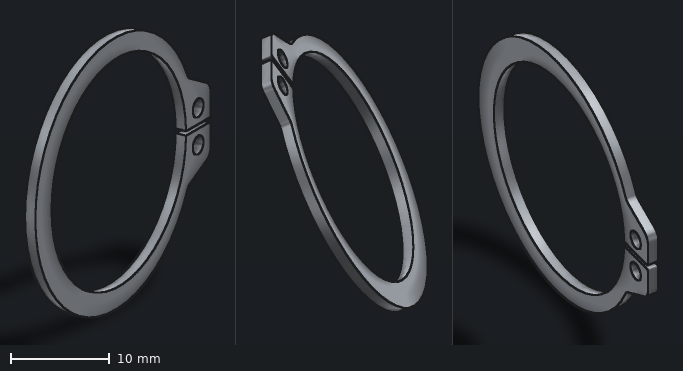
import cadquery as cq
import math

thickness = 1.27
overall_length = 32.65
outer_diameter = 29.75
inner_diameter = 25.0
bore_offset = 0.7
gap_width = 0.5

lug_side_height = 3.9
lug_slope = math.radians(26.2)
lug_corner_radius = 1.25
lug_tip_radius = 0.15
lug_root_radius = 0.98

hole_diameter = 2.0
hole_y = 15.45
hole_spacing = 4.05

outer_radius = outer_diameter / 2
lug_end = overall_length - outer_radius


side_distance = lug_end * math.sin(lug_slope) + lug_side_height * math.cos(lug_slope)
root_angle = math.pi / 2 - lug_slope - math.acos(side_distance / outer_radius)
root_y = outer_radius * math.cos(root_angle)
root_z = outer_radius * math.sin(root_angle)


def disc(diameter, y=0.0, z=0.0):
    """Disc of the ring's thickness, centred on the mid-plane."""
    return (
        cq.Workplane("YZ", origin=(-thickness / 2, y, z))
        .circle(diameter / 2)
        .extrude(thickness)
    )


def lug_block():
    """Both lugs as one block with sloping sides, reaching back to the ring centre."""
    return (
        cq.Workplane("YZ", origin=(-thickness / 2, 0, 0))
        .moveTo(0, root_z)
        .lineTo(root_y, root_z)
        .lineTo(lug_end, lug_side_height)
        .lineTo(lug_end, -lug_side_height)
        .lineTo(root_y, -root_z)
        .lineTo(0, -root_z)
        .close()
        .extrude(thickness)
    )


def round_edges(body, y, z, radius):
    """Round the mirrored pair of edges along X that pass through (y, +z) and (y, -z)."""
    for side in (1, -1):
        edge = cq.selectors.NearestToPointSelector((0, y, side * z))
        body = body.edges("|X").edges(edge).fillet(radius)
    return body


ring = disc(outer_diameter).union(lug_block())
ring = ring.cut(disc(inner_diameter, y=bore_offset))
gap = cq.Workplane("XY").box(thickness, lug_end, gap_width, centered=(True, False, True))
ring = ring.cut(gap)

ring = round_edges(ring, root_y, root_z, lug_root_radius)
ring = round_edges(ring, lug_end, lug_side_height, lug_corner_radius)
ring = round_edges(ring, lug_end, gap_width / 2, lug_tip_radius)

for side in (1, -1):
    ring = ring.cut(disc(hole_diameter, y=hole_y, z=side * hole_spacing / 2))

result = ring